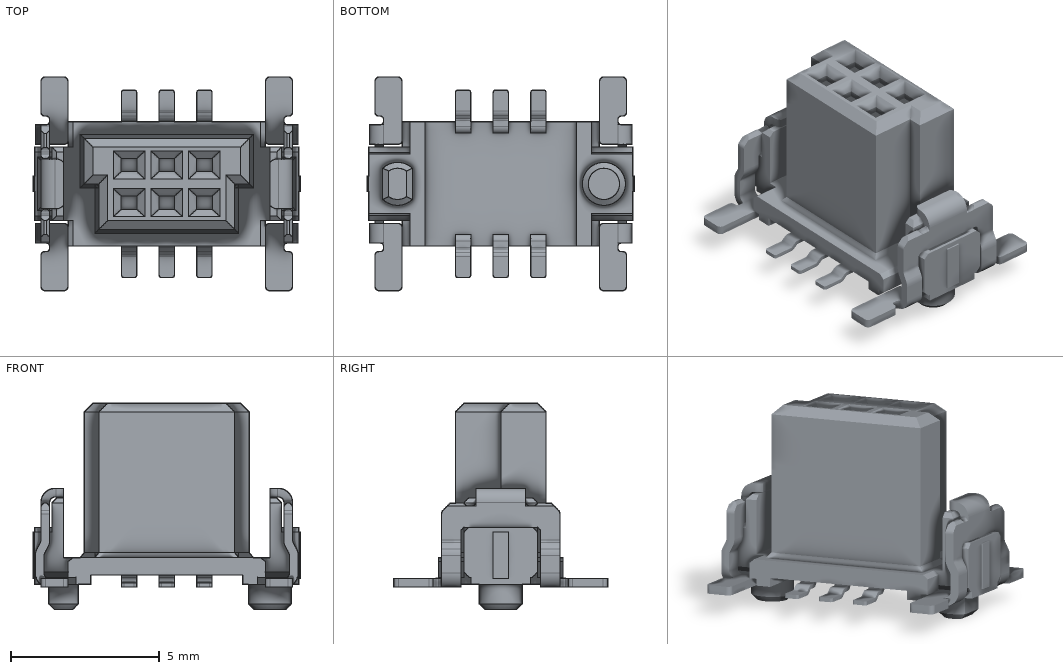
import cadquery as cq
import math


PLATE_HALF_X = 3.32
PLATE_HALF_Y = 2.095
PLATE_TOP = 1.0
PLATE_BOTTOM = 0.405
PLATE_END_BEVEL_X = 0.17
PLATE_END_BEVEL_Z = 0.135
RAIL_BOTTOM = 0.1
RAIL_INNER_X = 2.55

BLOCK_TOP = 6.19
BLOCK_HALF_Y = 1.53
BLOCK_REAR_HALF_X = 2.78
BLOCK_FRONT_HALF_X = 2.28
BLOCK_BEVEL = 0.3
SKIRT_WIDTH = 0.135
SKIRT_HEIGHT = 0.16

PITCH = 1.27
COLUMNS = (-PITCH, 0, PITCH)
ROWS = (-PITCH / 2, PITCH / 2)
FUNNEL_TOP_X = 1.06
FUNNEL_TOP_Y = 0.94
FUNNEL_HOLE_X = 0.53
FUNNEL_HOLE_Y = 0.45
FUNNEL_DEPTH = 0.26
HOLE_DEPTH = 0.2
LEAD_WIDTH = 0.52
LEAD_THICKNESS = 0.135
LEAD_TIP_Y = 3.155
LEAD_PAD_END_Y = 2.36
LEAD_RISE = 0.17
LEAD_SLOPE = 41
LEAD_ROOT_Y = 1.71
LEAD_BEND_RADIUS = 0.08
LEAD_CORNER = 0.09

TOWER_INNER_X = 3.47
TOWER_OUTER_X = 3.87
TOWER_TOP = 3.0
TOWER_HALF_Y = 1.24
TOWER_BEVEL = 0.16
COVER_OUTER_X = 4.44
COVER_TOP = 2.01
UNDERCUT_TOP = 0.33
UNDERCUT_BEVEL = 0.18
UNDERCUT_HALF_Y = 1.0
UNDERCUT_INNER_X = 3.06
POCKET_OUTER_X = 4.34
POCKET_HALF_Y = 0.9
POCKET_DEPTH = 0.18
RIB_OUTER_X = 4.495
RIB_WIDTH = 0.51
RIB_BOTTOM = 0.3
RIB_TOP = 1.85

SHEET = 0.3
CLIP_HALF_Y = 2.0
CLIP_TOP = 2.83
CLIP_UPPER_X = 4.23
CLIP_LOWER_X = 4.42
JOG_TOP = 1.54
JOG_BOTTOM = 1.18
BEND_RADIUS = 0.18
CLIP_CORNER = 0.3
CLIP_CORNER_BLEND = 0.18
CLIP_EDGE_BEVEL = 0.1
WINDOW_HALF_Y = 1.33
WINDOW_CORNER = 0.09
TONGUE_HALF_Y = 0.84
TONGUE_TOP = 3.33
TONGUE_CORNER_RADIUS = 0.33
TONGUE_CORNER_RUN = 0.25
RELIEF_OUTER_Y = 1.24
RELIEF_DEPTH = 0.11
RELIEF_RADIUS = 0.17
TAB_INNER_X = PLATE_HALF_X
TAB_OUTER_X = CLIP_UPPER_X
TAB_SPAN_Y = 7.2
TAB_CORNER = 0.16
NOTCH_X = 3.95
NOTCH_TOP_Y = 2.27
NOTCH_RADIUS = 0.1
NOTCH_MOUTH_RADIUS = 0.135
TAB_INNER_CORNER = 0.13

PIN_DIAMETER = 1.45
PIN_X = 3.47
PIN_BOTTOM = -0.755
PIN_BEVEL = 0.2
FLATTED_PIN_WIDTH = 1.0


def box(x, y, z):
    """Box spanning the (low, high) pairs x, y and z."""
    size = (x[1] - x[0], y[1] - y[0], z[1] - z[0])
    return cq.Workplane().box(*size, centered=False).translate((x[0], y[0], z[0]))


def mirrored_pair(half, plane):
    return half.union(half.mirror(plane))


def offset_to_left(path, distance):
    """Polyline parallel to path, on the left of its direction of travel."""
    normals = []
    for (x1, z1), (x2, z2) in zip(path, path[1:]):
        length = math.hypot(x2 - x1, z2 - z1)
        normals.append(((z1 - z2) / length, (x2 - x1) / length))
    before = normals[:1] + normals
    after = normals + normals[-1:]
    shifted = []
    for (x, z), (ax, az), (bx, bz) in zip(path, before, after):
        reach = distance / (1 + ax * bx + az * bz)
        shifted.append((x + (ax + bx) * reach, z + (az + bz) * reach))
    return shifted


def bent_strip(path, thickness, inner_radius, width):
    """Strip bent along an XZ path, thickened to the left of it and centred on Y = 0."""
    left_path = offset_to_left(path, thickness)
    strip = cq.Workplane("XZ").polyline(path + left_path[::-1]).close().extrude(width / 2, both=True)
    outer_radius = inner_radius + thickness
    for i in range(1, len(path) - 1):
        (x0, z0), (x1, z1), (x2, z2) = path[i - 1 : i + 2]
        turns_left = (x1 - x0) * (z2 - z1) > (z1 - z0) * (x2 - x1)
        path_radius = outer_radius if turns_left else inner_radius
        left_radius = inner_radius if turns_left else outer_radius
        for (x, z), radius in ((path[i], path_radius), (left_path[i], left_radius)):
            strip = strip.edges(cq.selectors.NearestToPointSelector((x, 0, z))).fillet(radius)
    return strip


def make_plate():
    plate = box((-PLATE_HALF_X, PLATE_HALF_X), (-PLATE_HALF_Y, PLATE_HALF_Y), (RAIL_BOTTOM, PLATE_TOP))
    plate = plate.faces(">Z").edges("|Y").chamfer(PLATE_END_BEVEL_Z, PLATE_END_BEVEL_X)
    underside = box(
        (-RAIL_INNER_X, RAIL_INNER_X), (-PLATE_HALF_Y, PLATE_HALF_Y), (RAIL_BOTTOM, PLATE_BOTTOM)
    )
    return plate.cut(underside)


def block_prism(margin, height, taper=0):
    """Prism on the plate with the stepped block outline grown by margin."""
    rear_x = BLOCK_REAR_HALF_X + margin
    front_x = BLOCK_FRONT_HALF_X + margin
    half_y = BLOCK_HALF_Y + margin
    right_side = [(front_x, -half_y), (front_x, -margin), (rear_x, -margin), (rear_x, half_y)]
    left_side = [(-x, y) for x, y in reversed(right_side)]
    outline = cq.Workplane().workplane(offset=PLATE_TOP).polyline(right_side + left_side).close()
    return outline.extrude(height, taper=taper)


def make_block():
    block = block_prism(0, BLOCK_TOP - PLATE_TOP).faces(">Z").chamfer(BLOCK_BEVEL)
    skirt_angle = math.degrees(math.atan2(SKIRT_WIDTH, SKIRT_HEIGHT))
    return block.union(block_prism(SKIRT_WIDTH, SKIRT_HEIGHT, skirt_angle))


def make_funnel(x, y):
    funnel = (
        cq.Workplane()
        .workplane(offset=BLOCK_TOP)
        .center(x, y)
        .rect(FUNNEL_TOP_X, FUNNEL_TOP_Y)
        .workplane(offset=-FUNNEL_DEPTH)
        .rect(FUNNEL_HOLE_X, FUNNEL_HOLE_Y)
        .loft()
    )
    return funnel.faces("<Z").workplane().rect(FUNNEL_HOLE_X, FUNNEL_HOLE_Y).extrude(HOLE_DEPTH)


def make_lead(x):
    """Gull-wing lead toward +Y, stepping up from its solder pad and turning up into the plate."""
    rise_run = LEAD_RISE / math.tan(math.radians(LEAD_SLOPE))
    path = [
        (LEAD_ROOT_Y, PLATE_BOTTOM + LEAD_THICKNESS),
        (LEAD_ROOT_Y, LEAD_RISE),
        (LEAD_PAD_END_Y - rise_run, LEAD_RISE),
        (LEAD_PAD_END_Y, 0),
        (LEAD_TIP_Y, 0),
    ]
    lead = bent_strip(path, LEAD_THICKNESS, LEAD_BEND_RADIUS, LEAD_WIDTH)
    lead = lead.faces(">X").edges("|Z").fillet(LEAD_CORNER)
    return lead.rotate((0, 0, 0), (0, 0, 1), 90).translate((x, 0, 0))


def make_end():
    """Tower, cover and rib at the +X end."""
    plate_flat_x = PLATE_HALF_X - PLATE_END_BEVEL_X
    tower = box((plate_flat_x, TOWER_OUTER_X), (-TOWER_HALF_Y, TOWER_HALF_Y), (RAIL_BOTTOM, TOWER_TOP))
    tower = tower.cut(
        box((plate_flat_x, TOWER_INNER_X), (-TOWER_HALF_Y, TOWER_HALF_Y), (PLATE_TOP, TOWER_TOP))
    )
    tower = tower.faces(">Z").edges("|X or >X").chamfer(TOWER_BEVEL)
    cover = box((TOWER_OUTER_X, COVER_OUTER_X), (-TOWER_HALF_Y, TOWER_HALF_Y), (RAIL_BOTTOM, COVER_TOP))
    cover = cover.faces(">Z").edges("|X").chamfer(TOWER_BEVEL)
    pocket = (
        cq.Workplane()
        .workplane(offset=COVER_TOP)
        .center(TOWER_OUTER_X, 0)
        .rect(2 * (POCKET_OUTER_X - TOWER_OUTER_X), 2 * POCKET_HALF_Y)
        .extrude(-POCKET_DEPTH, taper=45)
    )
    cover = cover.cut(pocket)
    rib = box((COVER_OUTER_X, RIB_OUTER_X), (-RIB_WIDTH / 2, RIB_WIDTH / 2), (RIB_BOTTOM, RIB_TOP))
    return tower.union(cover).union(rib)


def make_undercut():
    """Clearance for the +X, +Y solder tab below the tower and the plate corner."""
    profile = [
        (UNDERCUT_HALF_Y, 0),
        (UNDERCUT_HALF_Y, UNDERCUT_TOP),
        (TOWER_HALF_Y - UNDERCUT_BEVEL, UNDERCUT_TOP),
        (TOWER_HALF_Y, UNDERCUT_TOP + UNDERCUT_BEVEL),
        (TOWER_HALF_Y, UNDERCUT_TOP),
        (PLATE_HALF_Y, UNDERCUT_TOP),
        (PLATE_HALF_Y, 0),
    ]
    outline = cq.Workplane("YZ").workplane(offset=UNDERCUT_INNER_X).polyline(profile).close()
    return outline.extrude(COVER_OUTER_X - UNDERCUT_INNER_X)


def make_clip_plate():
    """Jogged upright plate of the +X clip, with its foot bend and window."""
    path = [
        (TAB_INNER_X + TAB_INNER_CORNER, 0),
        (CLIP_LOWER_X, 0),
        (CLIP_LOWER_X, JOG_BOTTOM),
        (CLIP_UPPER_X, JOG_TOP),
        (CLIP_UPPER_X, CLIP_TOP),
    ]
    upright = bent_strip(path, SHEET, BEND_RADIUS, 2 * CLIP_HALF_Y)
    upright = upright.faces(">Z").edges("|Y").chamfer(CLIP_EDGE_BEVEL)
    corner_y = CLIP_HALF_Y - CLIP_CORNER
    corner_z = CLIP_TOP - CLIP_CORNER
    outline = [
        (-CLIP_HALF_Y, 0),
        (-CLIP_HALF_Y, corner_z),
        (-corner_y, CLIP_TOP),
        (corner_y, CLIP_TOP),
        (CLIP_HALF_Y, corner_z),
        (CLIP_HALF_Y, 0),
    ]
    blank = cq.Workplane("YZ").polyline(outline).close().extrude(RIB_OUTER_X)
    blank = blank.edges("|X and (<Y or >Y)").edges(">Z").fillet(CLIP_CORNER_BLEND)
    window = box((0, RIB_OUTER_X), (-WINDOW_HALF_Y, WINDOW_HALF_Y), (0, COVER_TOP))
    window = window.faces(">Z").edges("|X").chamfer(WINDOW_CORNER)
    return upright.intersect(blank).cut(window)


def make_tongue():
    """Tongue of the +X clip, curled inward over the tower, its rounded tip trimmed straight."""
    tip_x = TOWER_INNER_X - (TONGUE_CORNER_RADIUS - TONGUE_CORNER_RUN)
    path = [(CLIP_UPPER_X, COVER_TOP), (CLIP_UPPER_X, TONGUE_TOP), (tip_x, TONGUE_TOP)]
    tongue = bent_strip(path, SHEET, BEND_RADIUS, 2 * TONGUE_HALF_Y)
    tongue = tongue.faces("<X").edges("|Z").fillet(TONGUE_CORNER_RADIUS)
    return tongue.cut(box((0, TOWER_INNER_X), (-TONGUE_HALF_Y, TONGUE_HALF_Y), (0, TONGUE_TOP)))


def make_relief():
    """Relief notch beside the tongue on the +Y side."""
    relief = box(
        (CLIP_UPPER_X - SHEET, CLIP_UPPER_X),
        (TONGUE_HALF_Y, RELIEF_OUTER_Y),
        (CLIP_TOP - RELIEF_DEPTH, TONGUE_TOP),
    )
    return relief.faces("<Z").edges("|X").fillet(RELIEF_RADIUS)


def make_tab():
    """Solder tab of the +X clip on the +Y side, notched next to the foot bend."""
    bend_end_x = CLIP_LOWER_X - BEND_RADIUS - SHEET
    tab = box((TAB_INNER_X, TAB_OUTER_X), (WINDOW_HALF_Y, TAB_SPAN_Y / 2), (0, SHEET))
    tab = tab.faces(">Y").edges("|Z").fillet(TAB_CORNER)
    tab = tab.edges("|Z and <X and <Y").fillet(TAB_INNER_CORNER)
    bend_room = box((bend_end_x, TAB_OUTER_X), (WINDOW_HALF_Y, CLIP_HALF_Y), (0, SHEET))
    notch = box((NOTCH_X, TAB_OUTER_X), (CLIP_HALF_Y, NOTCH_TOP_Y), (0, SHEET))
    notch = notch.edges("|Z and <X").fillet(NOTCH_RADIUS)
    tab = tab.cut(bend_room).cut(notch)
    notch_mouth = cq.selectors.NearestToPointSelector((TAB_OUTER_X, NOTCH_TOP_Y, SHEET / 2))
    return tab.edges(notch_mouth).fillet(NOTCH_MOUTH_RADIUS)


def make_clip():
    clip = make_clip_plate().cut(mirrored_pair(make_relief(), "XZ")).union(make_tongue())
    return clip.union(mirrored_pair(make_tab(), "XZ"))


def make_pin(x, width):
    """Round pin, flattened to the given width along X, with a bevelled tip."""
    height = RAIL_BOTTOM - PIN_BOTTOM
    pin = cq.Workplane().circle(PIN_DIAMETER / 2).extrude(height)
    pin = pin.intersect(cq.Workplane().box(width, PIN_DIAMETER, 2 * height))
    return pin.faces("<Z").chamfer(PIN_BEVEL).translate((x, 0, PIN_BOTTOM))


result = make_plate().union(make_block())
result = result.union(mirrored_pair(make_end(), "YZ"))
result = result.cut(mirrored_pair(mirrored_pair(make_undercut(), "XZ"), "YZ"))
for column_x in COLUMNS:
    for row_y in ROWS:
        result = result.cut(make_funnel(column_x, row_y))
    result = result.union(mirrored_pair(make_lead(column_x), "XZ"))
result = result.union(mirrored_pair(make_clip(), "YZ"))
result = result.union(make_pin(-PIN_X, FLATTED_PIN_WIDTH))
result = result.union(make_pin(PIN_X, PIN_DIAMETER))